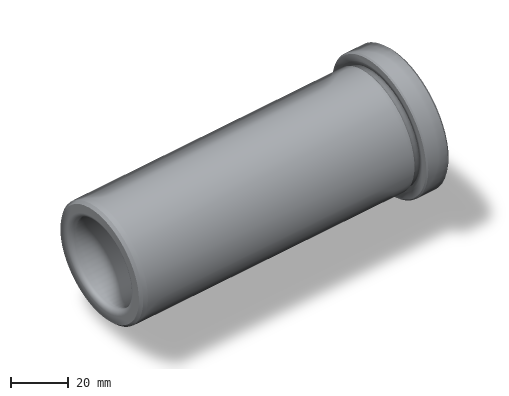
import cadquery as cq
import math

length = 130.0
head_diameter = 56.0
head_radius = head_diameter / 2
head_thickness = 10.0
head_rear_chamfer = 1.0
head_front_chamfer = 0.5

body_radius = 24.0
body_shoulder_chamfer = 0.5

relief_width = 2.0
relief_depth = 0.8

undercut_radius = 24.8
undercut_depth = 0.3

lead_length = 3.0
lead_step = 0.1
lead_radius = body_radius - lead_step
lead_chamfer = 1.0

bore_diameter = 35.0
bore_radius = bore_diameter / 2
mouth_round = 2.0

rear_y = length / 2
front_y = -length / 2
head_front_y = rear_y - head_thickness
body_rear_y = head_front_y - relief_width
relief_radius = body_radius - relief_depth

mouth_radius = bore_radius + mouth_round
mid_arc = mouth_round * (1 - math.sqrt(0.5))

section = (
    cq.Workplane("XY")
    .moveTo(mouth_radius, front_y)
    .lineTo(lead_radius - lead_chamfer, front_y)
    .lineTo(lead_radius, front_y + lead_chamfer)
    .lineTo(body_radius, front_y + lead_length)
    .lineTo(body_radius, body_rear_y - body_shoulder_chamfer)
    .lineTo(body_radius - body_shoulder_chamfer, body_rear_y)
    .lineTo(relief_radius, body_rear_y)
    .lineTo(relief_radius, head_front_y + undercut_depth)
    .lineTo(undercut_radius, head_front_y)
    .lineTo(head_radius - head_front_chamfer, head_front_y)
    .lineTo(head_radius, head_front_y + head_front_chamfer)
    .lineTo(head_radius, rear_y - head_rear_chamfer)
    .lineTo(head_radius - head_rear_chamfer, rear_y)
    .lineTo(mouth_radius, rear_y)
    .threePointArc((bore_radius + mid_arc, rear_y - mid_arc), (bore_radius, rear_y - mouth_round))
    .lineTo(bore_radius, front_y + mouth_round)
    .threePointArc((bore_radius + mid_arc, front_y + mid_arc), (mouth_radius, front_y))
    .close()
)

result = section.revolve(360, (0, 0, 0), (0, 1, 0))